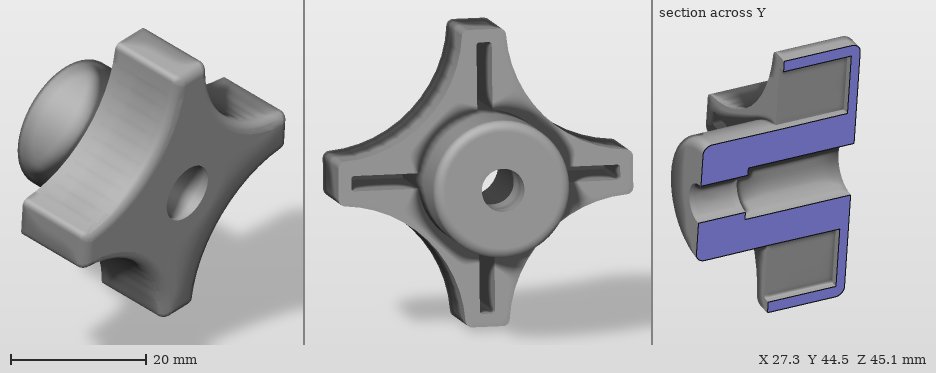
import cadquery as cq
import math

TILT = 3.6

SPAN = 44.45
STAR_THICKNESS = 12.8
ARC_RADIUS = 19.2
ARC_CENTRE = 22.5
TIP_CORNER_RADIUS = 1.0
RIM_RADIUS = 1.55

HUB_DIAMETER = 20.5
HUB_LENGTH = 12.65
HUB_ROUNDING = 1.5

BORE_DIAMETER = 6.45
BORE_DEPTH = 7.9
RECESS_DIAMETER = 9

SLOT_WIDTH = 2.3
SLOT_END = 20.3
SLOT_DEPTH = 11.25
SLOT_CORNER_RADIUS = 0.45

ARM_ANGLES = range(0, 360, 90)
HALF_SPAN = SPAN / 2
HALF_TIP = ARC_CENTRE - math.sqrt(ARC_RADIUS**2 - (ARC_CENTRE - HALF_SPAN) ** 2)


def turned(point, degrees):
    """Turn a point of the YZ plane about the knob axis."""
    angle = math.radians(degrees)
    y, z = point
    return (
        y * math.cos(angle) - z * math.sin(angle),
        y * math.sin(angle) + z * math.cos(angle),
    )


def make_star():
    """Star plate with its -X face at X = 0."""
    flank_middle = ARC_CENTRE - ARC_RADIUS / math.sqrt(2)
    outline = cq.Workplane("YZ").moveTo(HALF_SPAN, -HALF_TIP)
    for angle in ARM_ANGLES:
        outline = outline.lineTo(*turned((HALF_SPAN, HALF_TIP), angle))
        outline = outline.threePointArc(
            turned((flank_middle, flank_middle), angle),
            turned((HALF_TIP, HALF_SPAN), angle),
        )
    star = outline.close().extrude(STAR_THICKNESS)
    star = star.edges("|X").fillet(TIP_CORNER_RADIUS)
    return star.faces(">X").edges().fillet(RIM_RADIUS)


def make_hub():
    """Round hub reaching from its rounded -X face through the slot depth of the star."""
    hub = cq.Workplane("YZ", origin=(-HUB_LENGTH, 0, 0))
    hub = hub.circle(HUB_DIAMETER / 2).extrude(HUB_LENGTH + SLOT_DEPTH)
    return hub.faces("<X").edges().fillet(HUB_ROUNDING)


def make_slot(angle):
    """Slot along one arm, starting under the hub and opening on the -X face."""
    slot = (
        cq.Workplane("YZ")
        .center(SLOT_END / 2, 0)
        .rect(SLOT_END, SLOT_WIDTH)
        .extrude(SLOT_DEPTH)
        .edges("|X and >Y")
        .fillet(SLOT_CORNER_RADIUS)
    )
    return slot.rotate((0, 0, 0), (1, 0, 0), angle)


knob = make_star()
for arm_angle in ARM_ANGLES:
    knob = knob.cut(make_slot(arm_angle))
knob = knob.union(make_hub())

bore = cq.Workplane("YZ", origin=(-HUB_LENGTH, 0, 0))
bore = bore.circle(BORE_DIAMETER / 2).extrude(BORE_DEPTH)
recess = cq.Workplane("YZ", origin=(BORE_DEPTH - HUB_LENGTH, 0, 0))
recess = recess.circle(RECESS_DIAMETER / 2).extrude(HUB_LENGTH + STAR_THICKNESS - BORE_DEPTH)
knob = knob.cut(bore).cut(recess)

result = knob.rotate((0, 0, 0), (0, 1, 0), TILT)